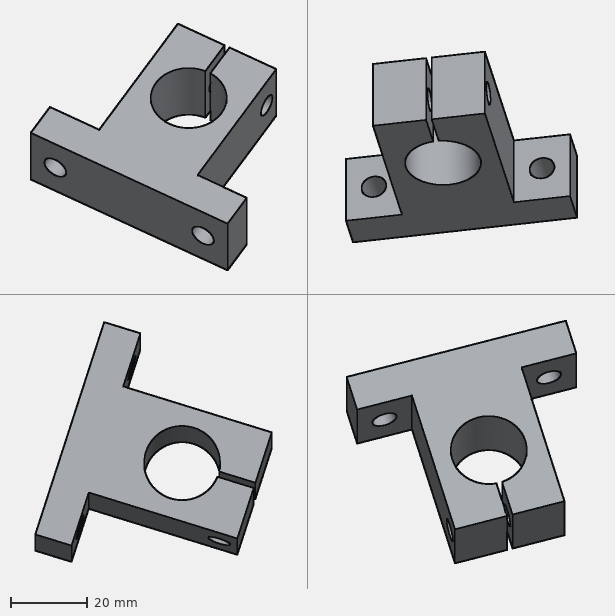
import cadquery as cq

plate_length = 60.0
plate_thickness = 10.0
height = 20.0
total_depth = 51.0

block_width = plate_length / 2
bore_diameter = 20.0
bore_distance = 31.0
slit_width = 1.5

mount_hole_diameter = 6.6
mount_hole_spacing = 45.0
clamp_hole_diameter = 6.0
clamp_hole_inset = 5.0


def make_body():
    """T-shaped body with its mounting face on Y = 0, centred on X and Z."""
    plate = cq.Workplane("XY").box(plate_length, plate_thickness, height, centered=(True, False, True))
    block = cq.Workplane("XY").box(block_width, total_depth, height, centered=(True, False, True))
    return plate.union(block)


def make_bore_and_slit():
    """Shaft bore along Z, opened to the far end of the block by a slit."""
    bore = (
        cq.Workplane("XY")
        .center(0, bore_distance)
        .circle(bore_diameter / 2)
        .extrude(height / 2, both=True)
    )
    slit_length = total_depth - bore_distance
    slit = (
        cq.Workplane("XY")
        .box(slit_width, slit_length, height, centered=(True, False, True))
        .translate((0, bore_distance, 0))
    )
    return bore.union(slit)


def make_mount_holes():
    """Two holes through the plate along Y, one on each side of the block."""
    half_spacing = mount_hole_spacing / 2
    return (
        cq.Workplane("XZ")
        .pushPoints([(-half_spacing, 0), (half_spacing, 0)])
        .circle(mount_hole_diameter / 2)
        .extrude(-plate_thickness)
    )


def make_clamp_hole():
    """Clamp screw hole along X, crossing both jaws beside the slit."""
    return (
        cq.Workplane("YZ")
        .center(total_depth - clamp_hole_inset, 0)
        .circle(clamp_hole_diameter / 2)
        .extrude(block_width / 2, both=True)
    )


result = make_body().cut(make_bore_and_slit()).cut(make_mount_holes()).cut(make_clamp_hole())